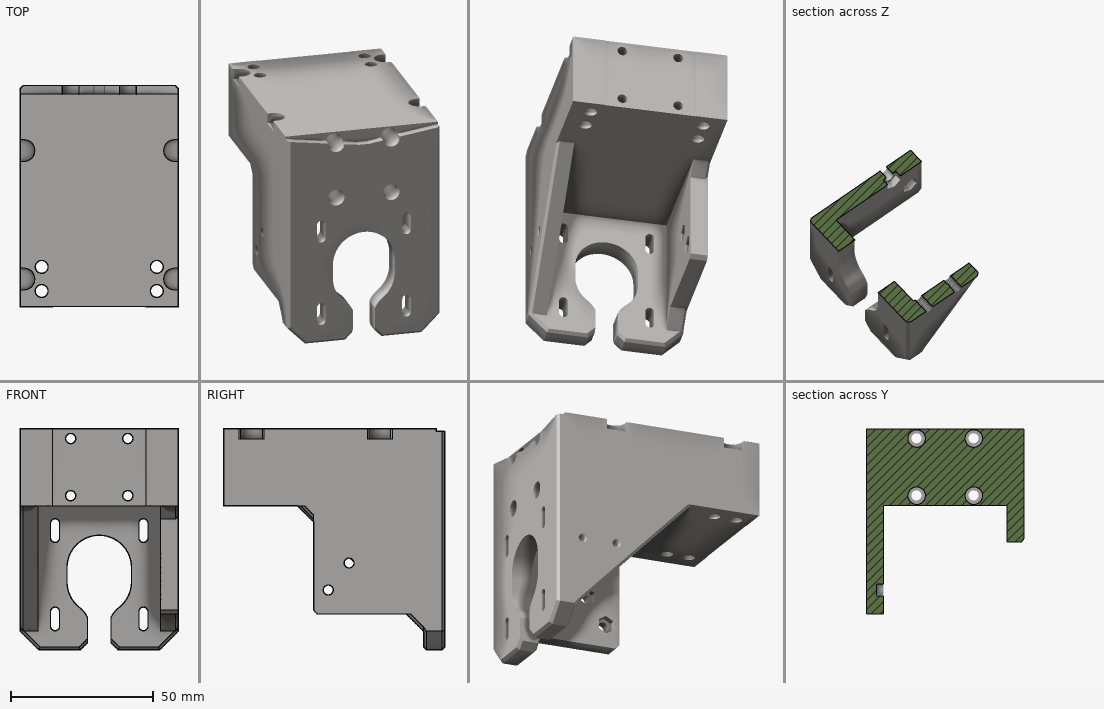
import cadquery as cq
import math

width = 55.4
length = 77.6
height = 77.5

head_height = 27.1
wall = 6.2
plate_thickness = 7.5
left_gusset_start = 25.9
right_gusset_start = 27.0
edge_chamfer = 1.0
foot_chamfer = 6.5
rear_face = length
plate_front = rear_face - plate_thickness
inner_half = width / 2 - wall
foot_corner_z = foot_chamfer - height

carriage_pitch = 20.0
carriage_top = 3.5
carriage_screw = 3.5
screw_head = 6.0
screw_grip = 5.0
recess_width = 32.75
recess_depth = 0.15

rear_step = 3.0
v_edge_drop = 0.85
v_flat = 3.65
v_angle = 8.2

top_hole = 4.4
top_hole_x = 20.2
top_hole_ys = (5.6, 14.05)
pocket_width = 7.6
pocket_reach = 5.1
pocket_depth = 3.65
pocket_mouth_width = 8.8
pocket_mouth_depth = 0.1
pocket_ys = (9.8, 54.8)

motor_z = -51.2
motor_pitch = 31.0
motor_travel = 5.1
motor_slot = 3.1
pilot_radius = 11.25
gap_width = 8.1
gap_chamfer = 2.55
flare_end_z = -66.3
flare_angle = 52.0

wing_front = 31.6
wing_bottom = -65.0
wing_chamfer = 1.4
wing_hole = 3.4
hex_corners = 6.5
hex_depth = 2.5
hex_turn = 30.0
wing_holes = ((44.0, -47.1), (36.7, -56.6))

thread_minor = 2.55
thread_major = 3.1
thread_pitch = 0.5
side_holes = ((54.95, -46.1), (67.9, -46.1))


def side_slab(x_start, thickness, points):
    """Extrude a (Y, Z) outline along +X from x_start."""
    return cq.Workplane("YZ", origin=(x_start, 0, 0)).polyline(points).close().extrude(thickness)


def rear_slab(y_start, depth, points):
    """Extrude an (X, Z) outline along +Y from y_start."""
    return cq.Workplane("XZ", origin=(0, y_start, 0)).polyline(points).close().extrude(-depth)


def y_cylinder(x, z, diameter, y_start, y_end):
    return cq.Workplane("XZ", origin=(x, y_start, z)).circle(diameter / 2).extrude(y_start - y_end)


def head():
    block = cq.Workplane("XY").box(width, length, head_height, centered=(True, False, False))
    return block.translate((0, 0, -head_height))


def gusset(x_start, outer_side, start_y):
    """Side wall under the head, with its outer sloping edge chamfered."""
    outline = [
        (start_y, -head_height),
        (plate_front, -head_height),
        (plate_front, foot_corner_z),
    ]
    slab = side_slab(x_start, wall, outline)
    return slab.faces(outer_side).edges("not (|Y or |Z)").chamfer(edge_chamfer)


def foot_edges(face):
    """Bottom and cut-corner edges of the feet on one face of the rear plate."""
    below_corner = cq.selectors.BoxSelector((-width, 0, -2 * height), (width, 2 * length, foot_corner_z))
    return face.edges(below_corner).edges("not |Z")


def rear_plate():
    """Plate split at the bottom into two feet with cut corners."""
    half = width / 2
    half_gap = gap_width / 2
    right_side = [
        (half_gap, motor_z),
        (half_gap, -height + gap_chamfer),
        (half_gap + gap_chamfer, -height),
        (half - foot_chamfer, -height),
        (half, foot_corner_z),
        (half, 0),
    ]
    left_side = [(-x, z) for x, z in reversed(right_side)]
    plate = rear_slab(plate_front, plate_thickness, right_side + left_side)
    return foot_edges(plate.faces("<Y")).chamfer(edge_chamfer)


def break_rear_edges(solid):
    """Chamfer the sides and feet of the rear outline, leaving the top and the gap sharp."""
    rear = solid.faces(">Y")
    sides = rear.edges("<X or >X")
    return foot_edges(rear).add(sides).chamfer(edge_chamfer)


def wing():
    """Plate standing forward of the +X gusset, with nut traps on its inner face."""
    outline = [
        (wing_front, -head_height),
        (plate_front, -head_height),
        (plate_front, wing_bottom),
        (wing_front + wing_chamfer, wing_bottom),
        (wing_front, wing_bottom + wing_chamfer),
    ]
    return side_slab(inner_half, wall, outline)


def wing_cuts():
    plane = cq.Workplane("YZ", origin=(inner_half, 0, 0)).pushPoints(wing_holes)
    holes = plane.circle(wing_hole / 2).extrude(wall)
    nuts = cq.Workplane("YZ", origin=(inner_half, 0, 0))
    for y, z in wing_holes:
        nut = nuts.center(y, z).polygon(6, hex_corners).extrude(hex_depth)
        holes = holes.union(nut.rotate((0, y, z), (1, y, z), hex_turn))
    return holes


def threaded_hole_cut(y, z):
    """Hole through the -X wall, its thread built as a row of V-shaped rings."""
    minor = thread_minor / 2
    major = thread_major / 2
    edge = -width / 2
    profile = [(edge, 0), (edge, major)]
    for turn in range(int(wall / thread_pitch)):
        turn_x = edge + turn * thread_pitch
        profile += [(turn_x + thread_pitch / 2, minor), (turn_x + thread_pitch, major)]
    profile += [(-inner_half, minor), (-inner_half, 0)]
    hole = cq.Workplane("XY").polyline(profile).close().revolve(360, (0, 0, 0), (1, 0, 0))
    return hole.translate((0, y, z))


def flare_arc_radius(lobe_x, lobe_z, angle):
    """Radius of the arc that leaves the pilot circle tangentially and ends on the gap wall."""
    dx = gap_width / 2 - lobe_x
    dz = flare_end_z - lobe_z
    return (dx * dx + dz * dz) / (2 * (dx * math.cos(angle) - dz * math.sin(angle)))


def pilot_cut():
    """Keyhole opening: a stretched circle that flares into the gap between the feet."""
    top_z = motor_z + motor_travel / 2
    low_z = motor_z - motor_travel / 2
    angle = math.radians(flare_angle)
    lobe_x = pilot_radius * math.cos(angle)
    lobe_z = low_z - pilot_radius * math.sin(angle)
    mid_x = pilot_radius * math.cos(angle / 2)
    mid_z = low_z - pilot_radius * math.sin(angle / 2)
    flare_radius = flare_arc_radius(lobe_x, lobe_z, angle)
    flare_x = lobe_x + flare_radius * math.cos(angle)
    flare_z = lobe_z - flare_radius * math.sin(angle)
    chord_angle = math.atan2((lobe_z + flare_end_z) / 2 - flare_z, flare_x - (lobe_x + gap_width / 2) / 2)
    bulge_x = flare_x - flare_radius * math.cos(chord_angle)
    bulge_z = flare_z + flare_radius * math.sin(chord_angle)
    return (
        cq.Workplane("XZ", origin=(0, plate_front, 0))
        .moveTo(-pilot_radius, top_z)
        .threePointArc((0, top_z + pilot_radius), (pilot_radius, top_z))
        .lineTo(pilot_radius, low_z)
        .threePointArc((mid_x, mid_z), (lobe_x, lobe_z))
        .threePointArc((bulge_x, bulge_z), (gap_width / 2, flare_end_z))
        .lineTo(-gap_width / 2, flare_end_z)
        .threePointArc((-bulge_x, bulge_z), (-lobe_x, lobe_z))
        .threePointArc((-mid_x, mid_z), (-pilot_radius, low_z))
        .close()
        .extrude(-plate_thickness)
    )


def motor_slot_cuts():
    half = motor_pitch / 2
    spots = [(x, motor_z + z) for x in (-half, half) for z in (-half, half)]
    start = cq.Workplane("XZ", origin=(0, plate_front, 0)).pushPoints(spots)
    return start.slot2D(motor_travel + motor_slot, motor_slot, 90).extrude(-plate_thickness)


def carriage_cuts():
    """Recess for the carriage, and screw holes whose heads are reached from the rear."""
    cuts = cq.Workplane("XY").box(recess_width, recess_depth, head_height, centered=(True, False, False))
    cuts = cuts.translate((0, 0, -head_height))
    for x in (-carriage_pitch / 2, carriage_pitch / 2):
        for z in (-carriage_top, -carriage_top - carriage_pitch):
            cuts = cuts.union(y_cylinder(x, z, carriage_screw, 0, length))
            cuts = cuts.union(y_cylinder(x, z, screw_head, screw_grip, length))
    return cuts


def rear_v_cut():
    half = width / 2
    flat_z = -v_edge_drop - (half - v_flat / 2) * math.tan(math.radians(v_angle))
    outline = [
        (-half, 0),
        (-half, -v_edge_drop),
        (-v_flat / 2, flat_z),
        (v_flat / 2, flat_z),
        (half, -v_edge_drop),
        (half, 0),
    ]
    return rear_slab(rear_face - rear_step, rear_step, outline)


def side_pocket(y):
    """Round-ended pocket on the -X edge of the top, with a slightly wider mouth."""
    radius = pocket_width / 2
    edge = -width / 2
    round_x = edge + pocket_reach - radius
    pocket = (
        cq.Workplane("XY")
        .moveTo(edge, y - radius)
        .lineTo(round_x, y - radius)
        .threePointArc((edge + pocket_reach, y), (round_x, y + radius))
        .lineTo(edge, y + radius)
        .close()
        .extrude(-pocket_depth)
    )
    mouth = cq.Workplane("XY").rect(2 * pocket_mouth_depth, pocket_mouth_width).extrude(-pocket_depth)
    return pocket.union(mouth.translate((edge, y, 0)))


def top_hole_cuts():
    spots = [(x, y) for x in (-top_hole_x, top_hole_x) for y in top_hole_ys]
    return cq.Workplane("XY").pushPoints(spots).circle(top_hole / 2).extrude(-head_height)


body = head().union(rear_plate())
body = body.union(gusset(-width / 2, "<X", left_gusset_start))
body = body.union(gusset(inner_half, ">X", right_gusset_start))
body = break_rear_edges(body)
body = body.union(wing())

cutters = [
    wing_cuts(),
    pilot_cut(),
    motor_slot_cuts(),
    carriage_cuts(),
    rear_v_cut(),
    top_hole_cuts(),
]
for hole_y, hole_z in side_holes:
    cutters.append(threaded_hole_cut(hole_y, hole_z))
for pocket_y in pocket_ys:
    pocket = side_pocket(pocket_y)
    cutters += [pocket, pocket.mirror("YZ")]
for cutter in cutters:
    body = body.cut(cutter)

result = body